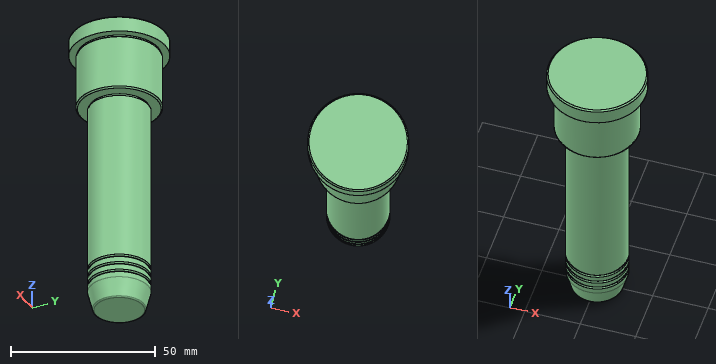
import cadquery as cq

total_length = 107.0
head_diameter = 35.0
head_thickness = 6.0
head_chamfer = 0.5
shoulder_diameter = 30.0
shoulder_bottom = 80.0
shoulder_top_chamfer = 0.3
shoulder_bottom_chamfer = 0.5
shank_diameter = 22.0

head_relief_width = 0.5
shank_relief_width = 1.0
shank_relief_depth = 0.5

tip_diameter = 18.3
taper_height = 7.0
tip_fillet = 0.5

groove_count = 3
groove_pitch = 3.0
groove_width = 1.0
first_groove_top = 10.0


def cylinder(diameter, bottom, top):
    return cq.Workplane("XY").workplane(offset=bottom).circle(diameter / 2).extrude(top - bottom)


def make_tip():
    cone = (
        cq.Workplane("XY")
        .circle(tip_diameter / 2)
        .workplane(offset=taper_height)
        .circle(shank_diameter / 2)
        .loft(ruled=True)
    )
    return cone.faces("<Z").edges().fillet(tip_fillet)


def lubrication_groove(top):
    """V-shaped ring with 45-degree flanks, opening directly below the given height."""
    shank_radius = shank_diameter / 2
    root_radius = shank_radius - groove_width / 2
    return (
        cq.Workplane("XZ")
        .moveTo(shank_radius, top)
        .lineTo(root_radius, top - groove_width / 2)
        .lineTo(shank_radius, top - groove_width)
        .close()
        .revolve(360, (0, 0), (0, 1))
    )


head_bottom = total_length - head_thickness
head = cylinder(head_diameter, head_bottom, total_length).faces(">Z").edges().chamfer(head_chamfer)
shank_top = shoulder_bottom - shank_relief_width
shoulder_top = head_bottom - head_relief_width
shoulder = (
    cylinder(shoulder_diameter, shoulder_bottom, shoulder_top)
    .faces(">Z").edges().chamfer(shoulder_top_chamfer)
    .faces("<Z").edges().chamfer(shoulder_bottom_chamfer)
)
head_neck = cylinder(shoulder_diameter - 2 * shoulder_top_chamfer, shoulder_top, head_bottom)
shank = cylinder(shank_diameter, taper_height, shank_top)
shank_neck = cylinder(shank_diameter - 2 * shank_relief_depth, shank_top, shoulder_bottom)
result = make_tip().union(shank).union(shank_neck).union(shoulder).union(head_neck).union(head)

for index in range(groove_count):
    result = result.cut(lubrication_groove(first_groove_top + index * groove_pitch))